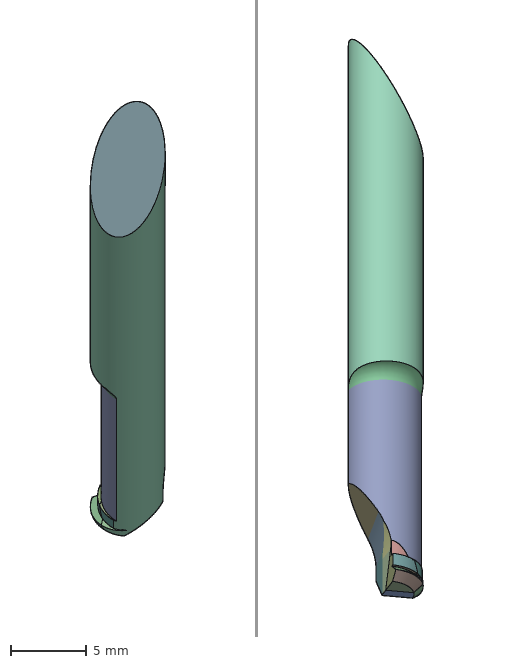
import cadquery as cq
import math

length = 41.6
shank_radius = 2.5
slope_angle = math.radians(30)
margin = 2.08

neck_left = -1.7
crease_x = 0.3
neck_blend_z = 15.3
neck_blend_radius = 1.05

collar_left = -1.95
collar_end_x = 0.1
collar_top_z = 2.08
undercut_top_z = 1.2
undercut_left = -1.75
edge_z = 0.6
nose_radius = 1.87
corner_start_z = 2.3

pocket_y = 0.2
gash_start_z = 8.3
gash_radius = 4.15
rake_angle = 10.0
rake_drop = 0.62

seat_top_z = 3.2
seat_slope = 0.355


def arc_radius(left, end_x):
    """Radius of the round through (left, 0) and both shank points at x = end_x."""
    half_chord_squared = shank_radius**2 - end_x**2
    sagitta = end_x - left
    return (half_chord_squared + sagitta**2) / (2 * sagitta)


neck_radius = arc_radius(neck_left, crease_x)
neck_axis_x = neck_left + neck_radius
collar_radius = arc_radius(collar_left, collar_end_x)
collar_axis_x = collar_left + collar_radius
outer_radius = 2 * shank_radius


def ring_about(profile, axis_x):
    """Revolve an XZ profile, drawn as (radius, z), about the vertical axis at axis_x."""
    return profile.close().revolve(360, (0, 0), (0, 1)).translate((axis_x, 0, 0))


def make_stock():
    """Round bar with a slanted top and a conical flank at the nose."""
    bar = (
        cq.Workplane("XZ")
        .polyline([(0, 0), (nose_radius, 0), (shank_radius, edge_z), (shank_radius, length), (0, length)])
        .close()
        .revolve(360, (0, 0), (0, 1))
    )
    low_z = length - 2 * shank_radius / math.tan(slope_angle)
    slanted_end = (
        cq.Workplane("YZ")
        .polyline([(-shank_radius, low_z), (shank_radius, length), (-shank_radius, length)])
        .close()
        .extrude(shank_radius + margin, both=True)
    )
    return bar.cut(slanted_end)


def make_neck_cutter():
    """Ring around the neck, ending upward in a concave blend."""
    blend_top_z = neck_blend_z + neck_blend_radius
    blend_mid = neck_blend_radius * math.sqrt(0.5)
    profile = (
        cq.Workplane("XZ")
        .moveTo(neck_radius, collar_top_z)
        .lineTo(neck_radius, neck_blend_z)
        .threePointArc(
            (neck_radius + neck_blend_radius - blend_mid, neck_blend_z + blend_mid),
            (neck_radius + neck_blend_radius, blend_top_z),
        )
        .lineTo(outer_radius, blend_top_z)
        .lineTo(outer_radius, collar_top_z)
    )
    return ring_about(profile, neck_axis_x)


def make_collar_cutter():
    """Ring around the collar, with the flared undercut below it."""
    undercut_radius = collar_axis_x - undercut_left
    edge_reach = collar_axis_x + shank_radius
    profile = cq.Workplane("XZ").polyline([
        (collar_radius, collar_top_z),
        (collar_radius, undercut_top_z),
        (undercut_radius, undercut_top_z),
        (edge_reach, edge_z),
        (outer_radius, edge_z),
        (outer_radius, collar_top_z),
    ])
    return ring_about(profile, collar_axis_x)


def make_corner_relief():
    """45 degree relief across the lower +X side."""
    low_x = shank_radius - corner_start_z
    return (
        cq.Workplane("XZ")
        .polyline([
            (low_x - margin, -margin),
            (shank_radius + margin, corner_start_z + margin),
            (shank_radius + margin, -margin),
        ])
        .close()
        .extrude(shank_radius + margin, both=True)
    )


def make_chip_pocket():
    """Flat face parallel to the axis that runs out upward along a slanted gash."""
    corner_z = gash_start_z - (shank_radius - pocket_y) / math.tan(slope_angle)
    tangent = gash_radius * math.tan(slope_angle / 2)
    half_angle = slope_angle / 2
    arc_start_z = corner_z - tangent
    outer_y = shank_radius + margin
    return (
        cq.Workplane("YZ")
        .moveTo(pocket_y, -margin)
        .lineTo(pocket_y, arc_start_z)
        .threePointArc(
            (
                pocket_y + gash_radius * (1 - math.cos(half_angle)),
                arc_start_z + gash_radius * math.sin(half_angle),
            ),
            (
                pocket_y + tangent * math.sin(slope_angle),
                corner_z + tangent * math.cos(slope_angle),
            ),
        )
        .lineTo(outer_y, gash_start_z + margin / math.tan(slope_angle))
        .lineTo(outer_y, -margin)
        .close()
        .extrude(shank_radius + margin, both=True)
    )


def make_rake_cutter():
    """The chip pocket again, turned about Z so that its face falls away toward -X."""
    pivot = (0, pocket_y, 0)
    pivot_top = (0, pocket_y, 1)
    return make_chip_pocket().rotate(pivot, pivot_top, rake_angle).translate((0, 0, -rake_drop))


def make_tip_region():
    """Wedge on the -X side of the slanted seat plane."""
    outer_x = -shank_radius - margin
    top_z = seat_top_z + (neck_left - outer_x) / seat_slope
    foot_x = neck_left + seat_slope * (seat_top_z + margin)
    return (
        cq.Workplane("XZ")
        .polyline([(outer_x, top_z), (foot_x, -margin), (outer_x, -margin)])
        .close()
        .extrude(shank_radius + margin, both=True)
    )


tool = (
    make_stock()
    .cut(make_neck_cutter())
    .cut(make_collar_cutter())
    .cut(make_corner_relief())
    .cut(make_chip_pocket())
    .cut(make_rake_cutter())
)
tip_region = make_tip_region()
cutting_tip = tool.intersect(tip_region)
holder = tool.cut(tip_region)

result = cq.Compound.makeCompound([holder.val(), cutting_tip.val()])